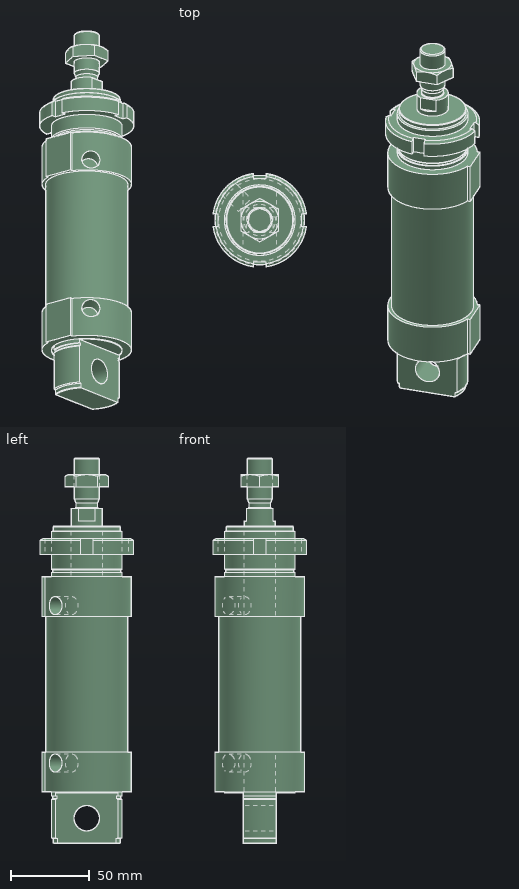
import cadquery as cq
import math

rear_cap_bottom = 32.7
cap_height = 25.4
rear_cap_top = rear_cap_bottom + cap_height
front_cap_top = 169.6
front_cap_bottom = front_cap_top - cap_height
nose_top = 201.7
front_spigot_length = nose_top - front_cap_top
rod_top = 245.2

tube_diameter = 52.4
cap_diameter = 57.0
pad_width = 20.0
spigot_diameter = 45.0
spigot_groove_diameter = 43.38
spigot_end_diameter = 42.8
spigot_end_length = 3.0
spigot_end_taper = 0.5
spigot_end_chamfer = 0.4
groove_offset = 2.7
groove_width = 1.4
groove_taper = 0.8

tongue_thickness = 21.0
tongue_collar = 0.5
pivot_diameter = 16.0
pivot_height = 16.0

port_diameter = 11.45
port_depth = 15.0
port_offset = 7.0
port_angle = 135.0

rod_diameter = 20.0
shoulder_height = 213.1
rod_flats_width = 17.0
rod_flats_bottom = 205.0
thread_diameter = 16.0
thread_chamfer = 0.75
neck_diameter = 13.9
neck_top = 216.5
neck_root_diameter = 14.38
neck_root_height = 0.6
thread_runout_top = 219.1

nut_bottom = 226.7
nut_height = 7.8
nut_width = 24.0
nut_sides = 6
nut_chamfer_angle = 30.0

ring_bottom = 183.6
ring_height = 10.4
ring_diameter = 60.0
ring_top_diameter = 56.0
ring_chamfer_height = 1.4
slot_width = 8.0
slot_floor_radius = 26.5
slot_count = 4


def disc(diameter, bottom, top):
    """Upright cylinder on the Z axis between two heights."""
    return cq.Workplane("XY", origin=(0, 0, bottom)).circle(diameter / 2).extrude(top - bottom)


def spigot(length):
    """Threaded spigot rising from Z = 0, with a relief groove near its root and a reduced end."""
    thread_radius = spigot_diameter / 2
    groove_radius = spigot_groove_diameter / 2
    end_radius = spigot_end_diameter / 2
    groove_top = groove_offset + groove_width
    end_start = length - spigot_end_length
    return (
        cq.Workplane("XZ")
        .moveTo(0, 0)
        .lineTo(thread_radius, 0)
        .lineTo(thread_radius, groove_offset)
        .lineTo(groove_radius, groove_offset)
        .lineTo(groove_radius, groove_top)
        .lineTo(thread_radius, groove_top + groove_taper)
        .lineTo(thread_radius, end_start - spigot_end_taper)
        .lineTo(end_radius, end_start)
        .lineTo(end_radius, length - spigot_end_chamfer)
        .lineTo(end_radius - spigot_end_chamfer, length)
        .lineTo(0, length)
        .close()
        .revolve(360, (0, 0, 0), (0, 1, 0))
    )


def end_cap(bottom):
    """Round cap with a flat pad on its +Y side, tangent to the rim."""
    cap_radius = cap_diameter / 2
    pad = (
        cq.Workplane("XY", origin=(0, cap_radius / 2, bottom))
        .rect(pad_width, cap_radius)
        .extrude(cap_height)
    )
    return disc(cap_diameter, bottom, bottom + cap_height).union(pad)


def port(height):
    """Blind radial port drilled between the -X and +Y sides of a cap."""
    angle = math.radians(port_angle)
    outward = cq.Vector(math.cos(angle), math.sin(angle), 0)
    inner_end = outward * (cap_diameter / 2 - port_depth) + cq.Vector(0, 0, height)
    return cq.Workplane(cq.Solid.makeCylinder(port_diameter / 2, 2 * port_depth, inner_end, outward))


def rear_tongue():
    """Rear spigot cut down to a flat tongue with a pivot hole along X."""
    body = spigot(rear_cap_bottom).rotate((0, 0, 0), (1, 0, 0), 180).translate((0, 0, rear_cap_bottom))
    flats_top = rear_cap_bottom - tongue_collar
    for side in (-1, 1):
        waste = (
            cq.Workplane("XY", origin=(side * (tongue_thickness / 2 + spigot_diameter / 2), 0, 0))
            .rect(spigot_diameter, 2 * spigot_diameter)
            .extrude(flats_top)
        )
        body = body.cut(waste)
    pivot_hole = (
        cq.Workplane("YZ", origin=(0, 0, pivot_height))
        .circle(pivot_diameter / 2)
        .extrude(tongue_thickness, both=True)
    )
    return body.cut(pivot_hole)


def make_housing():
    body = disc(tube_diameter, rear_cap_top, front_cap_bottom)
    body = body.union(end_cap(rear_cap_bottom)).union(end_cap(front_cap_bottom))
    body = body.union(spigot(front_spigot_length).translate((0, 0, front_cap_top)))
    body = body.union(rear_tongue())
    for height in (rear_cap_top - port_offset, front_cap_bottom + port_offset):
        body = body.cut(port(height))
    return body.cut(disc(rod_diameter, front_cap_top, nose_top))


def make_rod():
    rod_radius = rod_diameter / 2
    thread_radius = thread_diameter / 2
    neck_radius = neck_diameter / 2
    bottom = front_cap_top
    body = (
        cq.Workplane("XZ")
        .moveTo(0, bottom)
        .lineTo(rod_radius, bottom)
        .lineTo(rod_radius, shoulder_height)
        .lineTo(neck_root_diameter / 2, shoulder_height)
        .lineTo(neck_radius, shoulder_height + neck_root_height)
        .lineTo(neck_radius, neck_top)
        .lineTo(thread_radius, thread_runout_top)
        .lineTo(thread_radius, rod_top - thread_chamfer)
        .lineTo(thread_radius - thread_chamfer, rod_top)
        .lineTo(0, rod_top)
        .close()
        .revolve(360, (0, 0, 0), (0, 1, 0))
    )
    for side in (-1, 1):
        waste = (
            cq.Workplane("XY", origin=(side * (rod_flats_width + rod_diameter) / 2, 0, rod_flats_bottom))
            .rect(rod_diameter, rod_diameter)
            .extrude(shoulder_height - rod_flats_bottom)
        )
        body = body.cut(waste)
    return body


def make_rod_nut():
    """Hexagonal nut with corners on the Y axis and a conical chamfer on its top."""
    corner_radius = nut_width / 2 / math.cos(math.pi / nut_sides)
    chamfer_run = corner_radius - nut_width / 2
    chamfer_rise = chamfer_run * math.tan(math.radians(nut_chamfer_angle))
    body = (
        cq.Workplane("XY", origin=(0, 0, nut_bottom))
        .polygon(nut_sides, 2 * corner_radius)
        .extrude(nut_height)
        .rotate((0, 0, 0), (0, 0, 1), 180 / nut_sides)
    )
    envelope = (
        disc(2 * corner_radius, nut_bottom, nut_bottom + nut_height)
        .faces(">Z")
        .chamfer(chamfer_rise, chamfer_run)
    )
    return body.intersect(envelope).cut(disc(thread_diameter, nut_bottom, nut_bottom + nut_height))


def make_ring_nut():
    """Round nut with a chamfered top rim and key slots around its edge."""
    ring_top = ring_bottom + ring_height
    body = (
        disc(ring_diameter, ring_bottom, ring_top)
        .faces(">Z")
        .chamfer(ring_chamfer_height, (ring_diameter - ring_top_diameter) / 2)
    )
    slot = (
        cq.Workplane("XY", origin=(slot_floor_radius + slot_width / 2, 0, ring_bottom))
        .rect(slot_width, slot_width)
        .extrude(ring_height)
    )
    for index in range(slot_count):
        body = body.cut(slot.rotate((0, 0, 0), (0, 0, 1), index * 360 / slot_count))
    return body.cut(disc(spigot_diameter, ring_bottom, ring_top))


housing = make_housing()
piston_rod = make_rod()
rod_nut = make_rod_nut()
ring_nut = make_ring_nut()

result = cq.Compound.makeCompound([housing.val(), piston_rod.val(), rod_nut.val(), ring_nut.val()])